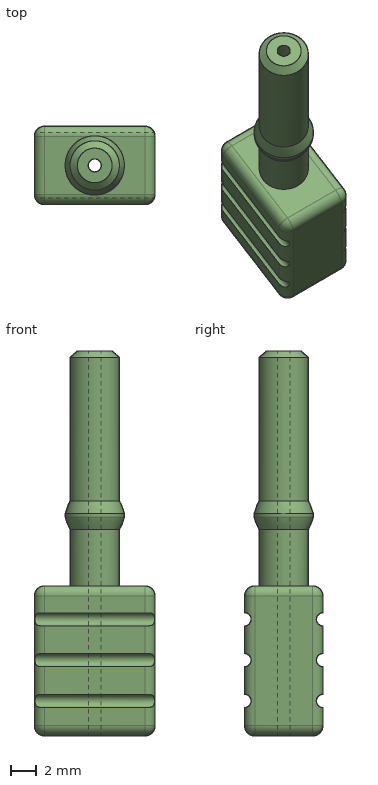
import cadquery as cq

block_width = 9.4
block_depth = 6.1
block_height = 11.7
block_round = 0.8

groove_radius = 0.5
groove_count = 3
groove_pitch = 3.18
lowest_groove_z = 2.73

total_height = 29.97
stem_radius = 1.92
tip_radius = 1.35
tip_chamfer_height = 0.5
bore_diameter = 1.0

collar_radius = 2.3
collar_center_z = 17.17
collar_height = 2.25
collar_band = 0.27
flank_bulge = 0.045


def grip_block():
    block = cq.Workplane("XY").box(block_width, block_depth, block_height, centered=(True, True, False))
    block = block.edges().fillet(block_round)
    for index in range(groove_count):
        groove_z = lowest_groove_z + index * groove_pitch
        for side in (-1, 1):
            groove = (
                cq.Workplane("YZ")
                .center(side * block_depth / 2, groove_z)
                .circle(groove_radius)
                .extrude(block_width / 2, both=True)
            )
            block = block.cut(groove)
    return block


def stem():
    collar_bottom = collar_center_z - collar_height / 2
    collar_top = collar_center_z + collar_height / 2
    band_bottom = collar_center_z - collar_band / 2
    band_top = collar_center_z + collar_band / 2
    flank_radius = (stem_radius + collar_radius) / 2 + flank_bulge
    profile = (
        cq.Workplane("XZ")
        .moveTo(0, block_height / 2)
        .lineTo(stem_radius, block_height / 2)
        .lineTo(stem_radius, collar_bottom)
        .threePointArc((flank_radius, (collar_bottom + band_bottom) / 2), (collar_radius, band_bottom))
        .lineTo(collar_radius, band_top)
        .threePointArc((flank_radius, (band_top + collar_top) / 2), (stem_radius, collar_top))
        .lineTo(stem_radius, total_height - tip_chamfer_height)
        .lineTo(tip_radius, total_height)
        .lineTo(0, total_height)
        .close()
    )
    return profile.revolve(360, (0, 0, 0), (0, 1, 0))


bore = cq.Workplane("XY").circle(bore_diameter / 2).extrude(total_height)
result = grip_block().union(stem()).cut(bore)